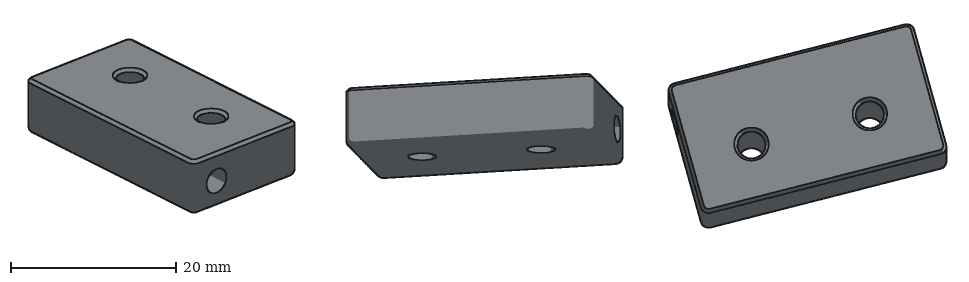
import cadquery as cq

length = 30.8
width = 17.0
height = 7.4
edge_radius = 1.0
top_chamfer = 0.4

hole_diameter = 3.4
hole_spacing = 14.85
hole_y = 1.48
hole_chamfer = 0.4

cross_hole_diameter = 3.2
cross_hole_from_front = 3.8
cross_hole_drop = 0.05
cross_hole_y = cross_hole_from_front - width / 2


def rounded_block():
    block = cq.Workplane("XY").box(length, width, height)
    block = block.edges("|Z or <Z").fillet(edge_radius)
    return block.faces(">Z").edges().chamfer(top_chamfer)


def vertical_hole(x):
    """Through-hole cutter with a 45 degree cone widening to the top face."""
    radius = hole_diameter / 2
    half_profile = [
        (0, -height / 2),
        (radius, -height / 2),
        (radius, height / 2 - hole_chamfer),
        (radius + hole_chamfer, height / 2),
        (0, height / 2),
    ]
    cutter = cq.Workplane("XZ").polyline(half_profile).close().revolve(360, (0, 0), (0, 1))
    return cutter.translate((x, hole_y, 0))


def lengthwise_hole():
    sketch = cq.Workplane("YZ").center(cross_hole_y, -cross_hole_drop).circle(cross_hole_diameter / 2)
    return sketch.extrude(length / 2, both=True)


result = rounded_block().cut(lengthwise_hole())
for side in (-1, 1):
    result = result.cut(vertical_hole(side * hole_spacing / 2))